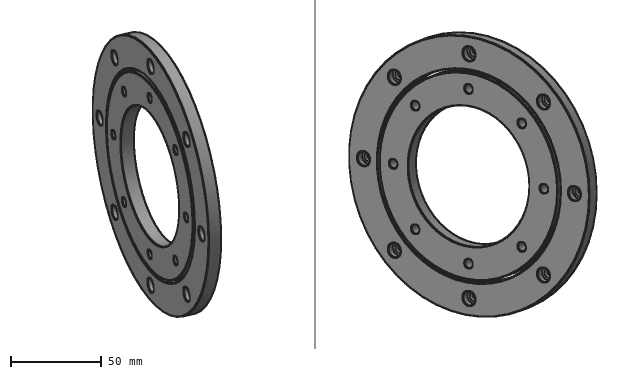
import cadquery as cq

outer_ring_diameter = 160.0
outer_ring_bore = 121.6
outer_ring_thickness = 8.0
outer_hole_circle = 140.0
outer_hole_diameter = 5.1
counterbore_diameter = 8.0
counterbore_depth = 4.6

inner_ring_diameter = 118.4
inner_ring_bore = 80.0
front_step = 0.5
inner_ring_thickness = outer_ring_thickness + front_step
inner_hole_circle = 100.0
inner_hole_diameter = 5.0

raceway_width = 3.2
raceway_depth = raceway_width / 2

hole_count = 8
hole_rim_chamfer = 0.5
edge_chamfer = 0.5

back_face_y = inner_ring_thickness / 2
raceway_y = back_face_y - outer_ring_thickness / 2


def plane_at(y):
    """Plane across the ring axis whose normal points to the back (+Y)."""
    return cq.Plane(origin=(0, y, 0), xDir=(1, 0, 0), normal=(0, 1, 0))


def chamfered_ring(outside_diameter, bore_diameter, thickness):
    """Flat ring ending at the back face, with all four circular edges chamfered."""
    return (
        cq.Workplane(plane_at(back_face_y - thickness))
        .circle(outside_diameter / 2)
        .circle(bore_diameter / 2)
        .extrude(thickness)
        .edges("%CIRCLE")
        .chamfer(edge_chamfer)
    )


def hole_pattern(circle_diameter, y):
    """Workplane holding the evenly spaced hole centres on a bolt circle."""
    return cq.Workplane(plane_at(y)).polarArray(circle_diameter / 2, 0, 360, hole_count)


def raceway(wall_radius, bottom_radius):
    """Ring of V section that opens at the wall radius and has its point at the bottom radius."""
    return (
        cq.Workplane("XY")
        .moveTo(wall_radius, raceway_y - raceway_width / 2)
        .lineTo(bottom_radius, raceway_y)
        .lineTo(wall_radius, raceway_y + raceway_width / 2)
        .close()
        .revolve(360, (0, 0, 0), (0, 1, 0))
    )


def rim_chamfers(circle_diameter, hole_diameter, y):
    """45 degree cones that break the front rims of a hole pattern."""
    return (
        hole_pattern(circle_diameter, y)
        .circle(hole_diameter / 2 + hole_rim_chamfer)
        .extrude(hole_rim_chamfer, taper=45)
    )


def make_outer_ring():
    front_face_y = back_face_y - outer_ring_thickness
    ring = chamfered_ring(outer_ring_diameter, outer_ring_bore, outer_ring_thickness)
    through_holes = (
        hole_pattern(outer_hole_circle, front_face_y)
        .circle(outer_hole_diameter / 2)
        .extrude(outer_ring_thickness)
    )
    counterbores = (
        hole_pattern(outer_hole_circle, front_face_y)
        .circle(counterbore_diameter / 2)
        .extrude(counterbore_depth)
    )
    rims = rim_chamfers(outer_hole_circle, counterbore_diameter, front_face_y)
    bore_radius = outer_ring_bore / 2
    groove = raceway(bore_radius, bore_radius + raceway_depth)
    return ring.cut(through_holes).cut(counterbores).cut(rims).cut(groove)


def make_inner_ring():
    front_face_y = back_face_y - inner_ring_thickness
    ring = chamfered_ring(inner_ring_diameter, inner_ring_bore, inner_ring_thickness)
    through_holes = (
        hole_pattern(inner_hole_circle, front_face_y)
        .circle(inner_hole_diameter / 2)
        .extrude(inner_ring_thickness)
    )
    rims = rim_chamfers(inner_hole_circle, inner_hole_diameter, front_face_y)
    rim_radius = inner_ring_diameter / 2
    groove = raceway(rim_radius, rim_radius - raceway_depth)
    return ring.cut(through_holes).cut(rims).cut(groove)


outer_ring = make_outer_ring()
inner_ring = make_inner_ring()

result = cq.Compound.makeCompound([outer_ring.val(), inner_ring.val()])